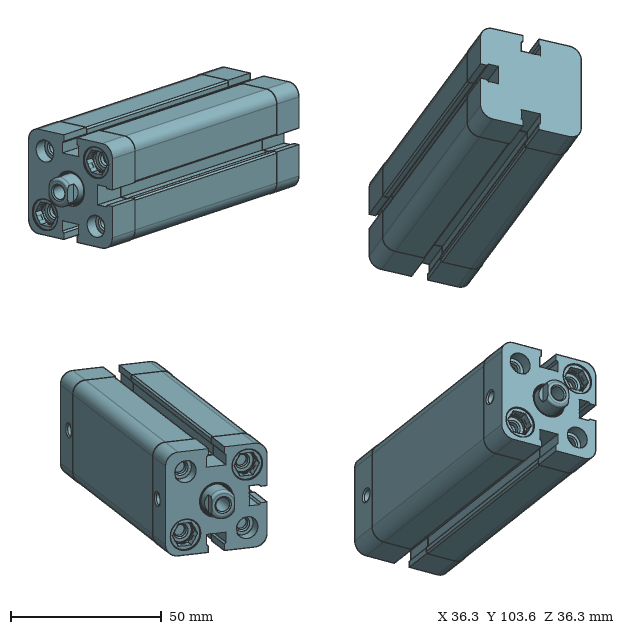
import cadquery as cq
import math


total_length = 103.6
rod_projection = 6.3
housing_length = total_length - rod_projection
front_cap_length = 11.8
rear_cap_length = 11.6
rear_cap_start = housing_length - rear_cap_length

cap_width = 36.3
tube_width = 36.1
corner_radius = 4.5
cap_draft = 0.3

slot_angles = (0, 90, -90)
mouth_flare = 0.6
cap_slot = {"mouth": 5.7, "channel": 6.9, "channel_top": 15.9, "floor": 11.7}
tube_slot = {"mouth": 5.4, "channel": 6.5, "channel_top": 15.9, "floor": 12.0}

rod_diameter = 10.0
core_diameter = 20.0
end_wall = 4.1
rod_end_fillet = 1.0
rod_flats_width = 8.0
rod_flats_length = 3.2
rod_thread_diameter = 4.9
rod_thread_mouth = 5.8
rod_thread_depth = 10.4

rod_bore_diameter = 10.5
rod_lip_diameter = 10.9
rod_recess_diameter = 11.4
rod_recess_mouth = 12.0
rod_recess_depth = 0.4

bolt_offset = 11.0
bolt_bore_diameter = 7.6
bolt_bore_depth = 4.5
bolt_core_mouth = 5.2
bolt_core_diameter = 4.1
bolt_core_depth = 2.1
screw_recess_mouth = 10.9
screw_recess_diameter = 10.5
screw_recess_depth = 0.4
hex_corners = 9.0
hex_depth = 3.1
screw_bore_diameter = 8.0
screw_bore_depth = 2.1

port_mouth = 5.2
port_diameter = 4.1
port_chord = 3.0
port_setback = 7.7
port_floor = math.sqrt(core_diameter**2 - port_chord**2) / 2


def round_bar(diameter, start, length):
    """Round bar along Y, from start to start + length."""
    return cq.Workplane("XZ", origin=(0, start, 0)).circle(diameter / 2).extrude(-length)


def mouth_cone(mouth_diameter, hole_diameter, start):
    """45-degree cone along Y that narrows from the mouth of a hole to its bore."""
    depth = (mouth_diameter - hole_diameter) / 2
    cone = cq.Solid.makeCone(
        mouth_diameter / 2, hole_diameter / 2, depth, cq.Vector(0, start, 0), cq.Vector(0, 1, 0)
    )
    return cq.Workplane(cone)


def rounded_block(width, start, length, draft=0.0):
    """Rounded square bar along Y; a negative length runs towards -Y, and draft narrows the far end."""
    profile = cq.Sketch().rect(width, width).vertices().fillet(corner_radius)
    plane = cq.Plane((0, start, 0), (1, 0, 0), (0, math.copysign(1, length), 0))
    return cq.Workplane(plane).placeSketch(profile).extrude(abs(length), taper=draft)


def slot_cutter(slot):
    """Full-length slot open towards +X, narrowing at 45 degrees from the channel to the mouth."""
    half_mouth = slot["mouth"] / 2
    half_channel = slot["channel"] / 2
    upper = [
        (slot["floor"], half_channel),
        (slot["channel_top"] - (half_channel - half_mouth), half_channel),
        (slot["channel_top"], half_mouth),
        (cap_width / 2, half_mouth),
    ]
    lower = [(x, -z) for x, z in reversed(upper)]
    return cq.Workplane("XZ").polyline(upper + lower).close().extrude(-housing_length)


def flare_cutter(slot, face):
    """Wedge that opens a slot mouth at 45 degrees where it meets the outer face."""
    inner = slot["mouth"] / 2
    outer = inner + mouth_flare
    wedge = [(face - mouth_flare, inner), (face, outer), (face, -outer), (face - mouth_flare, -inner)]
    return cq.Workplane("XZ").polyline(wedge).close().extrude(-housing_length)


def cut_along_slots(body, cutter):
    """Cut the same profile into each slotted side."""
    for angle in slot_angles:
        body = body.cut(cutter.rotate((0, 0, 0), (0, 1, 0), angle))
    return body


def cut_port(cap, y):
    """Blind port from -X, just deep enough to break into the core bore."""
    mouth_depth = (port_mouth - port_diameter) / 2
    face = cap_width / 2
    hole = cq.Workplane("YZ", origin=(-face, 0, 0)).center(y, 0).circle(port_diameter / 2)
    cap = cap.cut(hole.extrude(face - port_floor))
    mouth = cq.Solid.makeCone(
        port_mouth / 2, port_diameter / 2, mouth_depth, cq.Vector(-face, y, 0), cq.Vector(1, 0, 0)
    )
    return cap.cut(cq.Workplane(mouth))


def bolt_hole_cutter():
    bore = round_bar(bolt_bore_diameter, 0, bolt_bore_depth)
    core_mouth = mouth_cone(bolt_core_mouth, bolt_core_diameter, bolt_bore_depth)
    core = round_bar(bolt_core_diameter, bolt_bore_depth, bolt_core_depth)
    return bore.union(core_mouth).union(core)


def screw_socket_cutter():
    """Recess, and below it a hexagon socket whose flats are rounded out by a bore."""
    recess = round_bar(screw_recess_diameter, 0, screw_recess_depth)
    recess_mouth = mouth_cone(screw_recess_mouth, screw_recess_diameter, 0)
    hexagon = cq.Workplane("XZ").polygon(6, hex_corners).extrude(-(screw_recess_depth + hex_depth))
    bore = round_bar(screw_bore_diameter, 0, screw_recess_depth + screw_bore_depth)
    return recess.union(recess_mouth).union(hexagon).union(bore)


def cut_bolt_holes(cap):
    for x in (-bolt_offset, bolt_offset):
        for z in (-bolt_offset, bolt_offset):
            cap = cap.cut(bolt_hole_cutter().translate((x, 0, z)))
            if x == z:
                cap = cap.cut(screw_socket_cutter().translate((x, 0, z)))
    return cap


def cut_rod_opening(cap):
    lip_depth = rod_recess_depth + (rod_lip_diameter - rod_bore_diameter) / 2
    cap = cap.cut(round_bar(rod_bore_diameter, 0, end_wall))
    cap = cap.cut(round_bar(rod_lip_diameter, 0, lip_depth))
    cap = cap.cut(round_bar(rod_recess_diameter, 0, rod_recess_depth))
    return cap.cut(mouth_cone(rod_recess_mouth, rod_recess_diameter, 0))


def make_front_cap():
    cap = rounded_block(cap_width, front_cap_length, -front_cap_length, cap_draft)
    cap = cut_along_slots(cap, slot_cutter(cap_slot))
    cap = cap.cut(round_bar(core_diameter, end_wall, front_cap_length))
    cap = cut_rod_opening(cap)
    cap = cut_bolt_holes(cap)
    return cut_port(cap, port_setback)


def make_tube():
    tube = rounded_block(tube_width, front_cap_length, rear_cap_start - front_cap_length)
    tube = cut_along_slots(tube, slot_cutter(tube_slot))
    tube = cut_along_slots(tube, flare_cutter(tube_slot, tube_width / 2))
    return tube.cut(round_bar(core_diameter, 0, housing_length))


def make_rear_cap():
    cap = rounded_block(cap_width, rear_cap_start, rear_cap_length, cap_draft)
    cap = cut_along_slots(cap, slot_cutter(cap_slot))
    cap = cap.cut(round_bar(core_diameter, 0, housing_length - end_wall))
    return cut_port(cap, housing_length - port_setback)


def cut_wrench_flats(rod, tip):
    """Two flats near the rod tip, each running out at 45 degrees."""
    half_width = rod_flats_width / 2
    radius = rod_diameter / 2
    flat_end = tip + rod_flats_length
    runout = radius - half_width
    side = [(half_width, tip), (half_width, flat_end), (radius, flat_end + runout), (radius, tip)]
    flat = cq.Workplane("XY").polyline(side).close().extrude(radius, both=True)
    return rod.cut(flat).cut(flat.mirror("YZ"))


def make_rod():
    tip = -rod_projection
    rod = round_bar(rod_diameter, tip, rod_projection + end_wall)
    rod = rod.faces("<Y").edges().fillet(rod_end_fillet)
    rod = cut_wrench_flats(rod, tip)
    rod = rod.union(round_bar(core_diameter, end_wall, housing_length - 2 * end_wall))
    rod = rod.cut(round_bar(rod_thread_diameter, tip, rod_thread_depth))
    return rod.cut(mouth_cone(rod_thread_mouth, rod_thread_diameter, tip))


front_cap = make_front_cap()
tube = make_tube()
rear_cap = make_rear_cap()
rod = make_rod()

result = cq.Compound.makeCompound([front_cap.val(), tube.val(), rear_cap.val(), rod.val()])